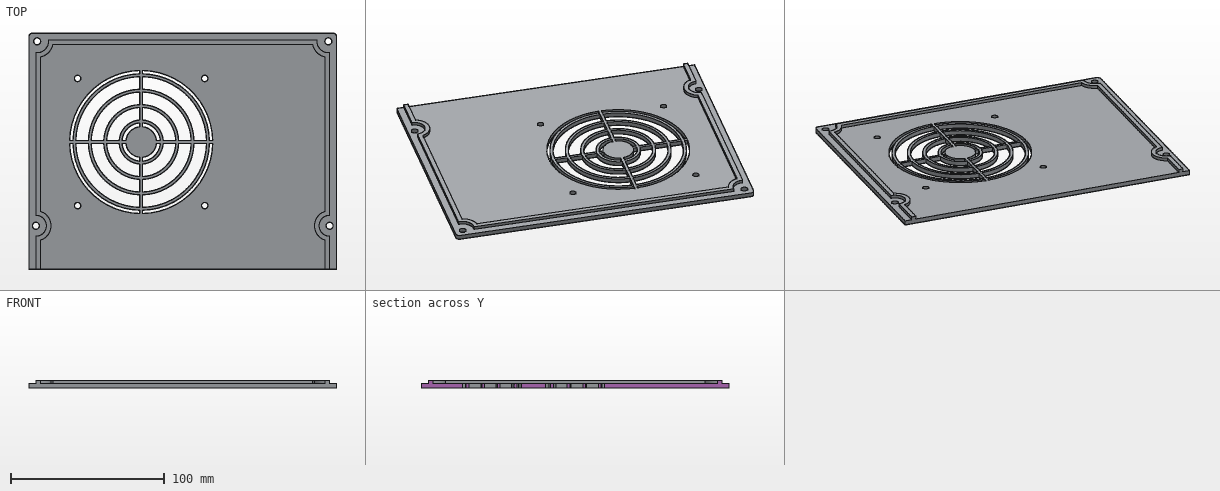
import cadquery as cq

plate_length = 200.0
plate_width = 153.5
plate_thickness = 3.0
rear_corner_radius = 2.5

total_height = 5.0
lip_height = total_height - plate_thickness
lip_inset = 4.5
lip_thickness = 3.0

screw_hole_diameter = 4.5
corner_hole_inset = 5.5
corner_bend_radius = 7.5
side_hole_inset = 4.5
side_hole_y = 28.5
side_bend_radius = 6.8

fan_x = 73.0
fan_y = 82.8
fan_hole_spacing = 82.5
fan_hole_diameter = 4.0
fan_opening_radius = 46.5
hub_radius = 10.0
ring_count = 4
ring_inner_radius = 12.5
ring_pitch = 10.0
bar_width = 2.0

left_and_right = (0, plate_length)
corner_holes = [(abs(x - corner_hole_inset), plate_width - corner_hole_inset) for x in left_and_right]
side_holes = [(abs(x - side_hole_inset), side_hole_y) for x in left_and_right]


def make_plate():
    plate = cq.Workplane("XY").box(plate_length, plate_width, plate_thickness, centered=False)
    return plate.edges("|Z and >Y").fillet(rear_corner_radius)


def disc(centers, radius, height):
    return cq.Workplane("XY").pushPoints(centers).circle(radius).extrude(height)


def area_inside(offset):
    """Block bounded by the lip line moved inwards by offset, open at the front edge."""
    inset = lip_inset + offset
    block = (
        cq.Workplane("XY")
        .box(plate_length - 2 * inset, plate_width - inset, lip_height, centered=False)
        .translate((inset, 0, 0))
    )
    block = block.cut(disc(corner_holes, corner_bend_radius + offset, lip_height))
    return block.cut(disc(side_holes, side_bend_radius + offset, lip_height))


def make_lip():
    lip = area_inside(0).cut(area_inside(lip_thickness))
    return lip.translate((0, 0, plate_thickness))


def make_fan_openings():
    """Everything removed between the hub, rings, spokes and rim of the grille."""
    center = [(fan_x, fan_y)]
    openings = disc(center, fan_opening_radius, plate_thickness)
    for index in range(ring_count):
        inner_radius = ring_inner_radius + index * ring_pitch
        ring = disc(center, inner_radius + bar_width, plate_thickness)
        ring = ring.cut(disc(center, inner_radius, plate_thickness))
        openings = openings.cut(ring)
    openings = openings.cut(disc(center, hub_radius, plate_thickness))
    spoke_length = 2 * fan_opening_radius + bar_width
    for length_x, length_y in ((spoke_length, bar_width), (bar_width, spoke_length)):
        spoke = cq.Workplane("XY").center(fan_x, fan_y).rect(length_x, length_y).extrude(plate_thickness)
        openings = openings.cut(spoke)
    return openings


half_spacing = fan_hole_spacing / 2
fan_holes = [
    (fan_x + side_x * half_spacing, fan_y + side_y * half_spacing)
    for side_x in (-1, 1)
    for side_y in (-1, 1)
]

result = make_plate().union(make_lip())
result = result.cut(make_fan_openings())
result = result.cut(disc(corner_holes + side_holes, screw_hole_diameter / 2, plate_thickness))
result = result.cut(disc(fan_holes, fan_hole_diameter / 2, plate_thickness))